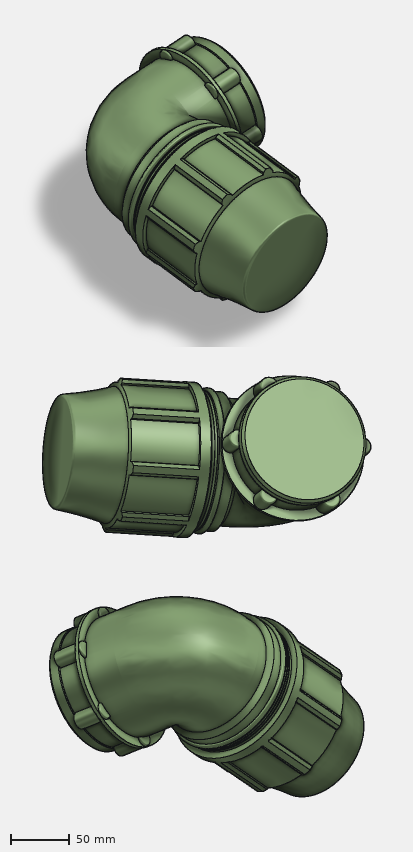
import cadquery as cq
import math

pipe_radius = 110.5 / 2
bend_radius = 33.8

shoulder_start = 44.5
shoulder_end = 48.9
socket_radius = 120.5 / 2
bead_start = 58.3
bead_width = 5.0
bead_radius = 126.0 / 2
bead_fillet = 1.8
thread_radius = 122.2 / 2
thread_width = 2.5
thread_starts = (65.0, 70.0)

flange_start = 72.5
flange_end = 82.0
flange_radius = 134.0 / 2
nut_radius = 126.0 / 2
nut_end = 144.3
nut_bevel_length = 3.3
rib_count = 8
rib_top_width = 6.4
rib_chamfer = 2.8
trim_allowance = 2.5
cone_start_radius = 59.3
cone_middle_radius = 53.5
run_end = 190.9
run_end_radius = 49.5
run_end_fillet = 2.5

overall_depth = 172.0
arm_end = overall_depth - flange_radius
arm_end_chamfer = 2.5
collar_radius = 111.5 / 2
collar_foot_chamfer = 0.8
grip_start = 69.2
grip_end = 93.0
grip_radius = 109.5 / 2
disc_start = 65.7
disc_radius = 127.2 / 2
lug_count = 6
lug_radius = 8.0
lug_circle_radius = 55.5
lug_start = 63.4
lug_fillet = 1.5


def run_cylinder(radius, start, end):
    return cq.Workplane("YZ").workplane(offset=start).circle(radius).extrude(end - start)


def arm_cylinder(radius, start, end):
    return cq.Workplane("XZ").workplane(offset=-start).circle(radius).extrude(start - end)


def make_bend():
    """Quarter revolution of the pipe section, cut off at the bend axis."""
    half_chord = math.sqrt(pipe_radius**2 - bend_radius**2)
    return (
        cq.Workplane("XZ", origin=(0, bend_radius, 0))
        .moveTo(bend_radius, -half_chord)
        .threePointArc((-pipe_radius, 0), (bend_radius, half_chord))
        .close()
        .revolve(90, (bend_radius, 0), (bend_radius, 1))
    )


def make_run_pipe():
    """Pipe, conical shoulder and socket with its bead and thread rings."""
    pipe = (
        cq.Workplane("XY")
        .moveTo(bend_radius, 0)
        .lineTo(bend_radius, pipe_radius)
        .lineTo(shoulder_start, pipe_radius)
        .lineTo(shoulder_end, socket_radius)
        .lineTo(flange_start, socket_radius)
        .lineTo(flange_start, 0)
        .close()
        .revolve(360, (0, 0), (1, 0))
    )
    bead = run_cylinder(bead_radius, bead_start, bead_start + bead_width)
    pipe = pipe.union(bead.edges().fillet(bead_fillet))
    for start in thread_starts:
        pipe = pipe.union(run_cylinder(thread_radius, start, start + thread_width))
    return pipe


def make_rib():
    """Bevelled rib at the +Y side of the nut, left too tall for trimming to the envelope."""
    half_top = rib_top_width / 2
    half_base = half_top + rib_chamfer
    bevel_top = math.sqrt(flange_radius**2 - half_top**2)
    bevel_bottom = bevel_top - rib_chamfer
    raw_top = flange_radius + trim_allowance
    return (
        cq.Workplane("YZ", origin=(flange_start, 0, 0))
        .moveTo(0, -half_base)
        .lineTo(bevel_bottom, -half_base)
        .lineTo(bevel_top, -half_top)
        .lineTo(raw_top, -half_top)
        .lineTo(raw_top, half_top)
        .lineTo(bevel_top, half_top)
        .lineTo(bevel_bottom, half_base)
        .lineTo(0, half_base)
        .close()
        .extrude(nut_end - flange_start)
    )


def make_nut():
    """Ribbed nut: flange, body with ribs, bevelled end and concave taper."""
    nut = run_cylinder(nut_radius, flange_start, nut_end)
    nut = nut.union(run_cylinder(flange_radius + trim_allowance, flange_start, flange_end))
    rib_pitch = 360 / rib_count
    for i in range(rib_count):
        nut = nut.union(make_rib().rotate((0, 0, 0), (1, 0, 0), (i + 0.5) * rib_pitch))

    envelope = (
        cq.Workplane("XY")
        .moveTo(flange_start, 0)
        .lineTo(flange_start, flange_radius)
        .lineTo(nut_end - nut_bevel_length, flange_radius)
        .lineTo(nut_end, cone_start_radius)
        .lineTo(nut_end, 0)
        .close()
        .revolve(360, (0, 0), (1, 0))
    )
    taper = (
        cq.Workplane("XY")
        .moveTo(nut_end, 0)
        .lineTo(nut_end, cone_start_radius)
        .threePointArc(((nut_end + run_end) / 2, cone_middle_radius), (run_end, run_end_radius))
        .lineTo(run_end, 0)
        .close()
        .revolve(360, (0, 0), (1, 0))
        .faces(">X")
        .edges()
        .fillet(run_end_fillet)
    )
    return nut.intersect(envelope).union(taper)


def make_arm():
    """Arm pipe with its end collar, thin disc and round grip lugs."""
    arm = arm_cylinder(pipe_radius, bend_radius, grip_start)
    arm = arm.union(arm_cylinder(grip_radius, grip_start, grip_end))
    collar = arm_cylinder(collar_radius, grip_end, arm_end)
    collar = collar.faces(">Y").edges().chamfer(arm_end_chamfer)
    collar = collar.faces("<Y").edges().chamfer(collar_foot_chamfer)
    arm = arm.union(collar)
    arm = arm.union(arm_cylinder(disc_radius, disc_start, grip_start))
    lug = arm_cylinder(lug_radius, lug_start, grip_end).edges().fillet(lug_fillet)
    lug = lug.translate((lug_circle_radius, 0, 0))
    for i in range(lug_count):
        arm = arm.union(lug.rotate((0, 0, 0), (0, 1, 0), i * 360 / lug_count))
    return arm


result = make_bend().union(make_run_pipe()).union(make_nut()).union(make_arm())